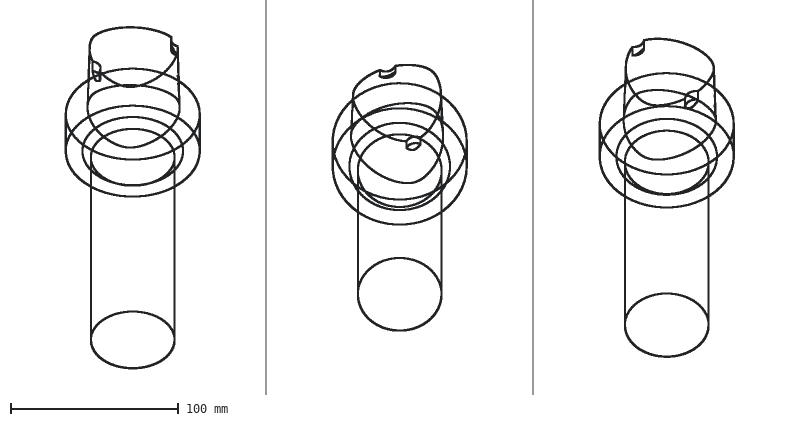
import cadquery as cq
import math

shank_diameter = 50.0
shank_length = 148.0

shoulder_height = 5.0
shoulder_diameter = shank_diameter + 2 * shoulder_height

flange_diameter = 80.0
flange_height = 30.0

taper_height = 48.0
taper_ratio = 1 / 20
taper_base_width = 55.0
taper_top_width = taper_base_width - taper_height * taper_ratio
lobe_eccentricity = 2.0
outline_points = 60

notch_diameter = 12.5
notch_wall_depth = 7.75
notch_bite = 2.55

shoulder_z = shank_length
flange_z = shoulder_z + shoulder_height
taper_z = flange_z + flange_height
top_z = taper_z + taper_height


def polygon_point(width, angle):
    """Point on a constant-width, three-lobed curve with one lobe toward +Y."""
    radius = width / 2
    e = lobe_eccentricity
    across = radius * math.sin(angle) + 2 * e * math.sin(2 * angle) + e * math.sin(4 * angle)
    along = radius * math.cos(angle) - 2 * e * math.cos(2 * angle) + e * math.cos(4 * angle)
    return (across, -along)


def polygon_outline(width):
    step = 2 * math.pi / outline_points
    return [polygon_point(width, i * step) for i in range(outline_points)]


def make_holder_body():
    """Shank, shoulder and flange as one turned body."""
    profile = [
        (0, 0),
        (shank_diameter / 2, 0),
        (shank_diameter / 2, shoulder_z),
        (shoulder_diameter / 2, flange_z),
        (flange_diameter / 2, flange_z),
        (flange_diameter / 2, taper_z),
        (0, taper_z),
    ]
    return cq.Workplane("XZ").polyline(profile).close().revolve(360, (0, 0, 0), (0, 1, 0))


def make_polygon_taper():
    return (
        cq.Workplane("XY", origin=(0, 0, taper_z))
        .spline(polygon_outline(taper_base_width), periodic=True)
        .close()
        .workplane(offset=taper_height)
        .spline(polygon_outline(taper_top_width), periodic=True)
        .close()
        .loft(ruled=True)
    )


def make_notch_cutter(y):
    """Vertical drill shape centred on (0, y): a cylinder ending in a cone."""
    radius = notch_diameter / 2
    wall_bottom_z = top_z - notch_wall_depth
    cylinder = (
        cq.Workplane("XY", origin=(0, y, wall_bottom_z))
        .circle(radius)
        .extrude(notch_wall_depth)
    )
    tip = cq.Solid.makeCone(0, radius, radius, pnt=cq.Vector(0, y, wall_bottom_z - radius))
    return cylinder.union(cq.Workplane(obj=tip))


notch_offset = notch_diameter / 2 - notch_bite
lobe_notch_y = taper_top_width / 2 + lobe_eccentricity + notch_offset
flat_notch_y = -(taper_top_width / 2 - lobe_eccentricity + notch_offset)

taper = make_polygon_taper()
for notch_y in (lobe_notch_y, flat_notch_y):
    taper = taper.cut(make_notch_cutter(notch_y))

result = make_holder_body().union(taper)